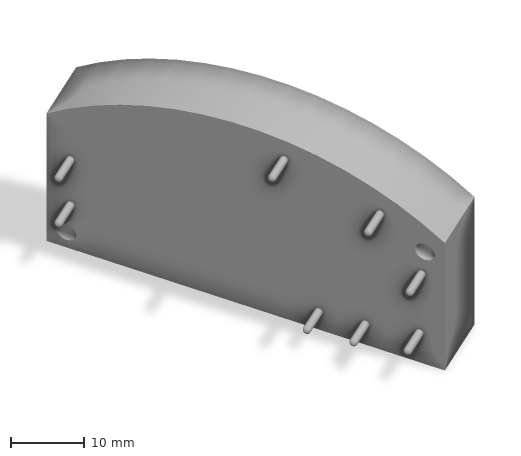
import cadquery as cq
import math

LENGTH = 60.0
DEPTH = 9.8
TOP_RADIUS = 49.5
SHOULDER_HEIGHT = 24.85
HALF_LENGTH = LENGTH / 2
ARC_CENTRE_Z = SHOULDER_HEIGHT - math.sqrt(TOP_RADIUS**2 - HALF_LENGTH**2)

HOLE_DIAMETER = 3.0
HOLE_MARGIN = 3.0
HOLE_X = HALF_LENGTH - HOLE_MARGIN
LOW_HOLE_Z = HOLE_MARGIN
HIGH_HOLE_Z = SHOULDER_HEIGHT - HOLE_MARGIN

WALL = 0.8
COLLAR_RADIUS = HOLE_DIAMETER / 2 + WALL
CORNER_RADIUS = 1.8
FILLING_DEPTH = 4.8

PIN_DIAMETER = 1.2
PIN_LENGTH = 4.5
PIN_PLACES = [
    (-26.35, 8.65),
    (-26.35, 17.45),
    (26.2, 5.9),
    (18.05, 4.15),
    (11.05, 3.6),
    (26.5, 17.45),
    (20.3, 26.5),
    (5.8, 31.0),
]


def front_plane(y=0.0):
    """Sketch plane facing -Y: local x is X and local y is Z."""
    return cq.Workplane("XZ", origin=(0, y, 0))


def make_case():
    return (
        front_plane(DEPTH)
        .moveTo(-HALF_LENGTH, 0)
        .lineTo(HALF_LENGTH, 0)
        .lineTo(HALF_LENGTH, SHOULDER_HEIGHT)
        .threePointArc((0, ARC_CENTRE_Z + TOP_RADIUS), (-HALF_LENGTH, SHOULDER_HEIGHT))
        .close()
        .extrude(DEPTH)
    )


def make_filling():
    side = HALF_LENGTH - WALL
    arch_radius = TOP_RADIUS - WALL
    diagonal = COLLAR_RADIUS * math.sqrt(0.5)

    line_x = HOLE_X - diagonal
    line_z = HIGH_HOLE_Z + diagonal
    rise = line_z - ARC_CENTRE_Z
    half_sum = (line_x + rise) / 2
    run = math.sqrt(half_sum**2 - (line_x**2 + rise**2 - arch_radius**2) / 2) - half_sum

    bottom_left = (-HOLE_X + COLLAR_RADIUS, WALL)
    bottom_right = (side, WALL)
    below_high_hole = (side, HIGH_HOLE_Z - COLLAR_RADIUS)
    top_right = (line_x + run, line_z + run)
    top_left = (-side, ARC_CENTRE_Z + math.sqrt(arch_radius**2 - side**2))
    above_low_hole = (-side, LOW_HOLE_Z + COLLAR_RADIUS)

    filling = (
        front_plane(FILLING_DEPTH)
        .moveTo(*bottom_left)
        .lineTo(*bottom_right)
        .lineTo(*below_high_hole)
        .lineTo(HOLE_X, HIGH_HOLE_Z - COLLAR_RADIUS)
        .threePointArc((HOLE_X - COLLAR_RADIUS, HIGH_HOLE_Z), (line_x, line_z))
        .lineTo(*top_right)
        .threePointArc((0, ARC_CENTRE_Z + arch_radius), top_left)
        .lineTo(*above_low_hole)
        .lineTo(-HOLE_X, LOW_HOLE_Z + COLLAR_RADIUS)
        .threePointArc(
            (-HOLE_X + diagonal, LOW_HOLE_Z + diagonal),
            (-HOLE_X + COLLAR_RADIUS, LOW_HOLE_Z),
        )
        .close()
        .extrude(FILLING_DEPTH)
    )

    corners = [bottom_left, bottom_right, below_high_hole, top_right, top_left, above_low_hole]
    for x, z in corners:
        corner = cq.selectors.NearestToPointSelector((x, FILLING_DEPTH / 2, z))
        filling = filling.edges("|Y").edges(corner).fillet(CORNER_RADIUS)
    return filling


def make_holes():
    return (
        front_plane(DEPTH)
        .pushPoints([(-HOLE_X, LOW_HOLE_Z), (HOLE_X, HIGH_HOLE_Z)])
        .circle(HOLE_DIAMETER / 2)
        .extrude(DEPTH)
    )


def make_pin(x, z):
    radius = PIN_DIAMETER / 2
    shank_end = radius - PIN_LENGTH
    return (
        cq.Workplane("XY", origin=(x, 0, z))
        .moveTo(0, 0)
        .lineTo(radius, 0)
        .lineTo(radius, shank_end)
        .radiusArc((0, -PIN_LENGTH), radius)
        .close()
        .revolve(360, (0, 0), (0, 1))
    )


filling = make_filling()
result = make_case().cut(make_holes()).cut(filling).union(filling, clean=False)
for x, z in PIN_PLACES:
    result = result.union(make_pin(x, z), clean=False)